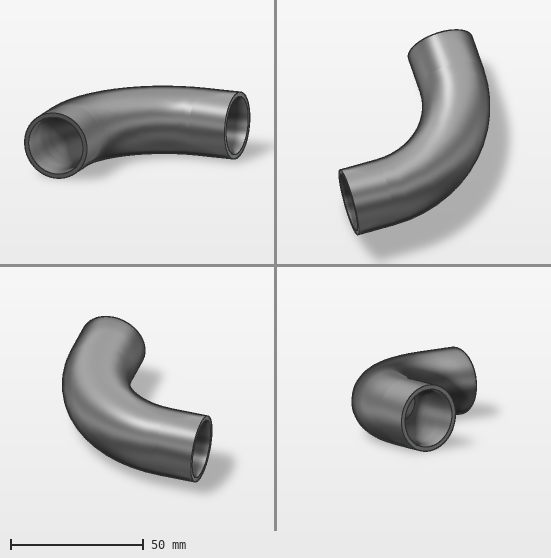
import cadquery as cq
import math

overall_length = 65.1
outer_diameter = 25.4
inner_diameter = 22.1
tangent_length = 14.3

bend_radius = overall_length - tangent_length - outer_diameter / 2

bend_start = (0, tangent_length)
bend_middle = (
    bend_radius * (1 - math.cos(math.radians(45))),
    tangent_length + bend_radius * math.sin(math.radians(45)),
)
bend_end = (bend_radius, tangent_length + bend_radius)
outlet = (bend_radius + tangent_length, tangent_length + bend_radius)

centreline = (
    cq.Workplane("XY")
    .moveTo(0, 0)
    .lineTo(*bend_start)
    .threePointArc(bend_middle, bend_end)
    .lineTo(*outlet)
)

result = (
    cq.Workplane("XZ")
    .circle(outer_diameter / 2)
    .circle(inner_diameter / 2)
    .sweep(centreline)
)